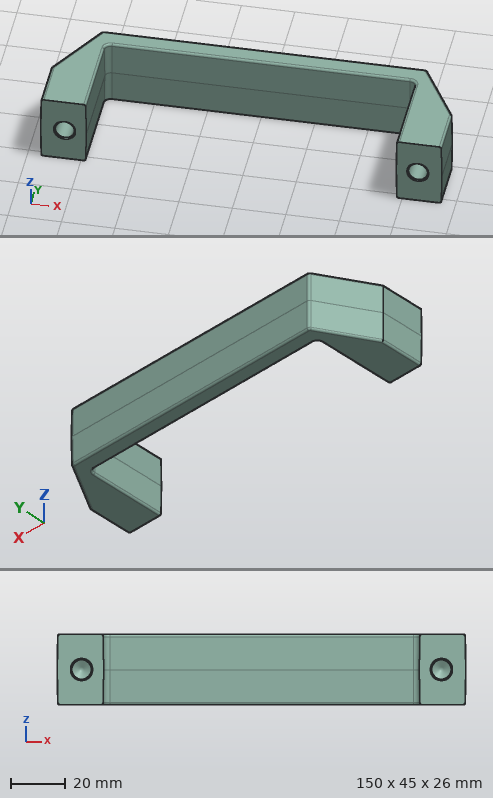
import cadquery as cq
import math

length = 150.0
depth = 45.0
height = 26.0
leg_width = 17.1
bar_thickness = 7.6
straight_side = 20.2
slope_angle = 30.0
inner_radius = 2.2
back_corner_radius = 1.5
draft_angle = 1.0
edge_round = 0.9

hole_inset = 9.0
hole_diameter = 7.2
hole_mouth_diameter = 8.1
hole_depth = 18.0
hole_tip_angle = 118.0

half_length = length / 2
half_height = height / 2
slope_run = (depth - straight_side) * math.tan(math.radians(slope_angle))
trim_allowance = 3.0


def handle_half():
    """Upper drafted half, widest at the parting plane Z = 0."""
    inner_x = half_length - leg_width
    inner_y = depth - bar_thickness
    outline = (
        cq.Workplane("XY")
        .moveTo(-half_length, -trim_allowance)
        .lineTo(-half_length, straight_side)
        .lineTo(-half_length + slope_run, depth)
        .lineTo(half_length - slope_run, depth)
        .lineTo(half_length, straight_side)
        .lineTo(half_length, -trim_allowance)
        .lineTo(inner_x, -trim_allowance)
        .lineTo(inner_x, inner_y - inner_radius)
        .radiusArc((inner_x - inner_radius, inner_y), -inner_radius)
        .lineTo(-inner_x + inner_radius, inner_y)
        .radiusArc((-inner_x, inner_y - inner_radius), -inner_radius)
        .lineTo(-inner_x, -trim_allowance)
        .close()
    )
    return outline.extrude(half_height, taper=draft_angle)


def foot_hole(x):
    """Blind drilled hole with a conical tip and a small countersink, entering at Y = 0."""
    radius = hole_diameter / 2
    mouth_radius = hole_mouth_diameter / 2
    tip_length = radius / math.tan(math.radians(hole_tip_angle / 2))
    return (
        cq.Workplane("XY")
        .polyline([
            (0, 0),
            (mouth_radius, 0),
            (radius, mouth_radius - radius),
            (radius, hole_depth),
            (0, hole_depth + tip_length),
        ])
        .close()
        .revolve(360, (0, 0, 0), (0, 1, 0))
        .translate((x, 0, 0))
    )


upper_half = handle_half()
back_corners = cq.selectors.BoxSelector(
    (-half_length, depth - back_corner_radius, 0), (half_length, depth + back_corner_radius, height)
)
upper_half = upper_half.edges(back_corners).edges("not #Z").fillet(back_corner_radius)
upper_half = upper_half.faces(">Z").edges().fillet(edge_round)
result = upper_half.union(upper_half.mirror("XY"))

trim_block = cq.Workplane("XY").box(
    2 * length, depth, 2 * height, centered=(True, False, True)
).translate((0, -depth, 0))
result = result.cut(trim_block)

for side in (-1, 1):
    result = result.cut(foot_hole(side * (half_length - hole_inset)))